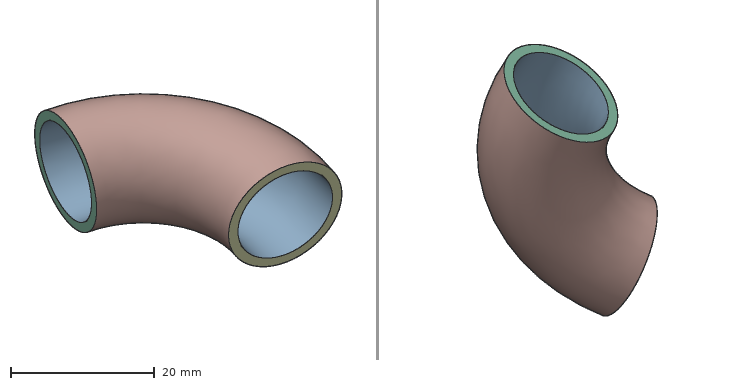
import cadquery as cq

overall_size = 31.5
outer_diameter = 18.0
bore_diameter = 15.0
bend_angle = 90.0

bend_radius = overall_size - outer_diameter / 2


def bent_rod(diameter):
    """Solid round rod swept about Z from the -Y facing end to the +X facing end."""
    return (
        cq.Workplane("XZ")
        .center(-bend_radius, 0)
        .circle(diameter / 2)
        .revolve(bend_angle, (bend_radius, 0.3), (bend_radius, 0))
    )


result = bent_rod(outer_diameter).cut(bent_rod(bore_diameter))